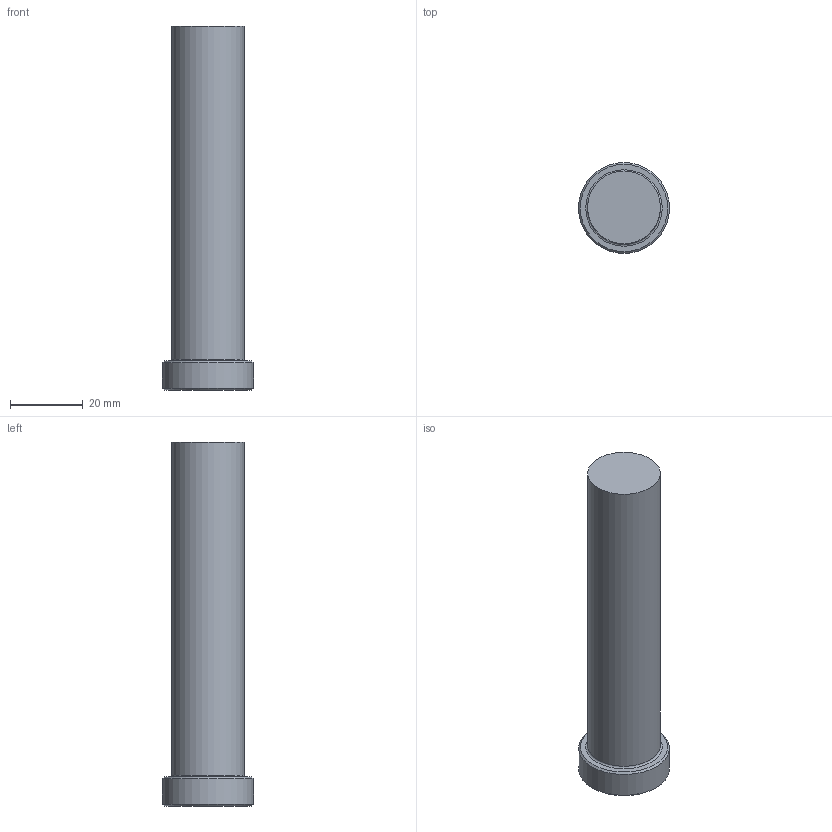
import cadquery as cq

total_length = 100.0
shank_diameter = 20.0
head_diameter = 25.0
head_height = 8.0
head_edge_size = 0.5
neck_fillet_radius = 0.5


def make_head():
    """Flat disc at the base with both rims chamfered."""
    head = cq.Workplane("XY").circle(head_diameter / 2).extrude(head_height)
    return head.faces("<Z or >Z").edges().chamfer(head_edge_size)


def make_shank():
    """Plain cylinder running the full length of the pin."""
    return cq.Workplane("XY").circle(shank_diameter / 2).extrude(total_length)


def round_neck(pin):
    """Fillet the inner corner where the shank meets the head."""
    shoulder_faces = pin.faces("%PLANE").faces(">Z[-2]")
    inner_edge = shoulder_faces.edges(cq.selectors.RadiusNthSelector(0))
    return inner_edge.fillet(neck_fillet_radius)


result = round_neck(make_head().union(make_shank()))